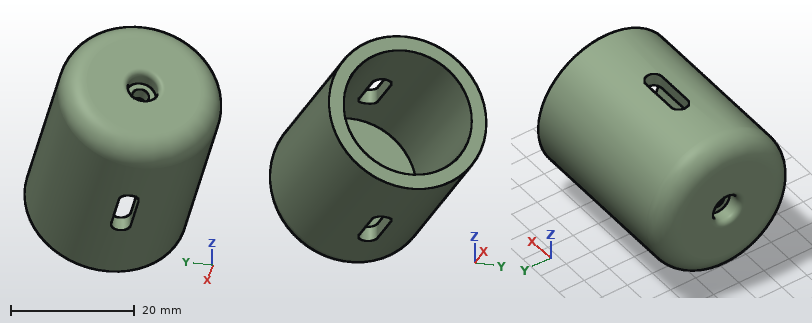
import cadquery as cq

length = 34.0
outer_diameter = 26.8
nose_radius = 4.0
bore_diameter = 21.8
side_wall = (outer_diameter - bore_diameter) / 2

hole_diameter = 2.75
counterbore_diameter = 5.0
counterbore_depth = 3.0
mouth_radius = 1.0

end_wall = counterbore_depth + side_wall

slot_length = 10.0
slot_width = 3.2
slot_corner_radius = 1.5
slot_center_x = length / 2


def axial_cylinder(diameter, start_x, end_x):
    """Cylinder on the X axis between two X positions."""
    return (
        cq.Workplane("YZ", origin=(start_x, 0, 0))
        .circle(diameter / 2)
        .extrude(end_x - start_x)
    )


def slot_cutter():
    """Rounded slot running vertically through the whole body."""
    return (
        cq.Workplane("XY")
        .center(slot_center_x, 0)
        .rect(slot_length, slot_width)
        .extrude(outer_diameter, both=True)
        .edges("|Z")
        .fillet(slot_corner_radius)
    )


body = axial_cylinder(outer_diameter, 0, length).faces("<X").edges().fillet(nose_radius)
body = body.cut(axial_cylinder(bore_diameter, end_wall, length))
body = body.cut(axial_cylinder(hole_diameter, 0, end_wall))
body = body.cut(axial_cylinder(counterbore_diameter, 0, counterbore_depth))

mouth = cq.selectors.RadiusNthSelector(0)
body = body.faces("<X").edges(mouth).fillet(mouth_radius)

result = body.cut(slot_cutter())